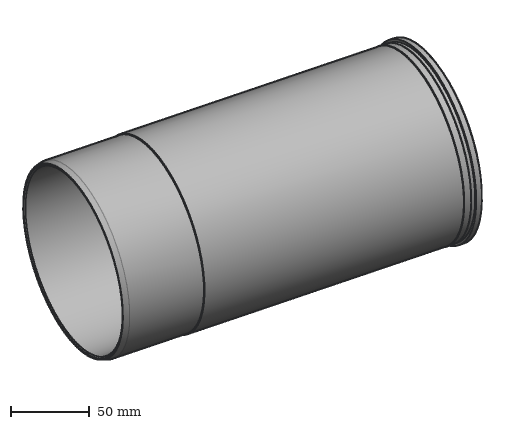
import cadquery as cq

total_length = 260.7

bore_radius = 63.6
lip_radius = 65.8
skirt_radius = 66.7
body_radius = 67.2
band_radius = 67.4
flange_radius = 69.0

flange_start = 1.7
flange_end = 5.8
band_start = 8.4
band_end = 14.0
body_end = 202.7

slope_length = 0.4

outer_chamfer_length = 4.0
outer_chamfer_depth = 1.2
bore_chamfer_length = 0.8
bore_chamfer_depth = 1.0


def flange_outline():
    """Locating lip and flange, as (radius, distance from the flange end)."""
    return [
        (lip_radius, 0),
        (lip_radius, flange_start),
        (flange_radius, flange_start),
        (flange_radius, flange_end),
        (body_radius, flange_end),
    ]


def band_outline():
    """Slightly raised band on the body, just behind the flange."""
    return [
        (body_radius, band_start),
        (band_radius, band_start + slope_length),
        (band_radius, band_end - slope_length),
        (body_radius, band_end),
    ]


def skirt_outline():
    """Step down from the body to the skirt, then the long chamfer at the plain end."""
    return [
        (body_radius, body_end - slope_length),
        (skirt_radius, body_end),
        (skirt_radius, total_length - outer_chamfer_length),
        (skirt_radius - outer_chamfer_depth, total_length),
    ]


def bore_outline():
    """Bore with a chamfered mouth at the plain end, running back to the flange end."""
    return [
        (bore_radius + bore_chamfer_depth, total_length),
        (bore_radius, total_length - bore_chamfer_length),
        (bore_radius, 0),
    ]


def make_liner():
    """Revolve the wall section about the Y axis, with the plain end at Y = 0."""
    section = flange_outline() + band_outline() + skirt_outline() + bore_outline()
    points = [(radius, total_length - distance) for radius, distance in section]
    axis_start = (0, 0, 0)
    axis_end = (0, 1, 0)
    return cq.Workplane("ZY").polyline(points).close().revolve(360, axis_start, axis_end)


result = make_liner()